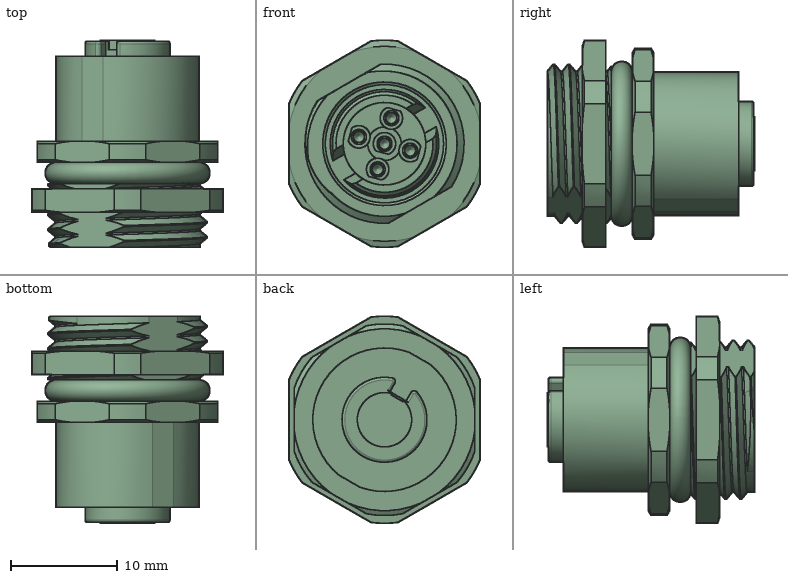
import cadquery as cq
import math


length = 19.5
nut_front, nut_back = 3.3, 5.5
ring_front = 6.0
flange_front, flange_back = 8.0, 10.0
body_end = 18.0
nose_end = 19.4

body_radius = 6.75
flat_distance = 6.65
flat_angle = 120.0
thread_radius = 7.49
thread_root_radius = 6.82
thread_pitch = 1.4
flank_angle = 40.0
crest_width = 0.12
thread_overlap = 0.04
thread_start = 0.35
thread_start_angle = 158.0
thread_trim = 2 * thread_pitch
thread_turns = math.ceil(ring_front / thread_pitch) + 1
lead_in_turns = 0.25
lead_in_offset = 0.98

nut_flats, nut_diameter = 18.0, 19.5
nut_chamfer_radial, nut_chamfer_axial = 0.58, 0.2
flange_flats, flange_diameter = 17.0, 18.0
flange_chamfer_radial, flange_chamfer_axial = 0.45, 0.25
seal_diameter = 15.5

bore_radius, bore_depth, bore_rim_round = 5.55, 5.5, 0.25
cup_front = 3.51
cup_floor = flange_front
cup_inner_radius = 3.88
cup_rim_radius, cup_shoulder_radius, cup_foot_radius = 4.56, 4.9, 5.1
cup_chamfer_length = 0.33
notch_angle = flat_angle - 90
notch_half_width_front, notch_half_width_back = 1.85, 1.03

contact_circle_radius = 2.5
contact_tilt = 15.0
contact_radius, contact_hole_radius = 0.7, 0.53
contact_front = 2.38
contact_hole_depth, contact_cone_depth = 2.73, 0.58
scoop_length = 1.95
collar_radius, collar_flat_distance, collar_height = 1.05, 0.85, 0.2
center_disc_radius, center_disc_height = 1.58, 0.08

nose_radius, nose_edge_round = 4.0, 0.23
face_disc_radius = 2.55
key_half_width, key_floor, key_lip_round = 0.88, 2.54, 0.33
key_slot_half_width, key_slot_floor, key_slot_front = 0.65, 2.34, 18.56
selection_margin = 0.2


def revolved(points):
    """Solid of revolution about the Y axis from (radius, y) points."""
    return cq.Workplane("XY").polyline(points).close().revolve(360, (0, 0), (0, 1))


def disc(radius, y_front, y_back):
    return cq.Workplane("XZ", origin=(0, y_front, 0)).circle(radius).extrude(y_front - y_back)


def turned(shape, angle):
    """Turn a shape about Y so that its +X side points at the angle, from +X towards +Z."""
    return shape.rotate((0, 0, 0), (0, 1, 0), -angle)


def block(x_start, x_end, y_start, y_end, half_width):
    return (
        cq.Workplane("XY")
        .box(x_end - x_start, y_end - y_start, 2 * half_width, centered=(False, False, True))
        .translate((x_start, y_start, 0))
    )


def hexagon(flats, y_front, y_back, envelope):
    """Hexagon with flats facing +X and -X, its corners turned down to the envelope."""
    prism = (
        cq.Workplane("XZ", origin=(0, y_front, 0))
        .polygon(6, flats / math.cos(math.pi / 6))
        .extrude(y_front - y_back)
    )
    return turned(prism, 30).intersect(envelope)


def make_nut():
    radius = nut_diameter / 2
    envelope = revolved([
        (0, nut_front),
        (radius - nut_chamfer_radial, nut_front),
        (radius, nut_front + nut_chamfer_axial),
        (radius, nut_back),
        (0, nut_back),
    ])
    return hexagon(nut_flats, nut_front, nut_back, envelope)


def make_flange():
    radius = flange_diameter / 2
    envelope = revolved([
        (0, flange_front),
        (radius - flange_chamfer_radial, flange_front),
        (radius, flange_front + flange_chamfer_axial),
        (radius, flange_back - flange_chamfer_axial),
        (radius - flange_chamfer_radial, flange_back),
        (0, flange_back),
    ])
    return hexagon(flange_flats, flange_front, flange_back, envelope)


def make_seal():
    """Disc with a fully rounded rim; the inner half of the seal merges into the body."""
    tube_radius = (flange_front - ring_front) / 2
    tube_center_radius = seal_diameter / 2 - tube_radius
    return (
        cq.Workplane("XY")
        .moveTo(0, ring_front)
        .lineTo(tube_center_radius, ring_front)
        .threePointArc(
            (seal_diameter / 2, ring_front + tube_radius),
            (tube_center_radius, flange_front),
        )
        .lineTo(0, flange_front)
        .close()
        .revolve(360, (0, 0), (0, 1))
    )


def make_ridge(start_angle, start_y, turns):
    """Right-handed thread ridge, swept along Z, laid along +Y and turned to its start."""
    foot = thread_root_radius - thread_overlap
    foot_half_width = crest_width / 2 + (thread_radius - foot) * math.tan(math.radians(flank_angle))
    path = cq.Wire.makeHelix(thread_pitch, turns * thread_pitch, foot)
    ridge = (
        cq.Workplane("XZ")
        .polyline([
            (foot, -foot_half_width),
            (thread_radius, -crest_width / 2),
            (thread_radius, crest_width / 2),
            (foot, foot_half_width),
        ])
        .close()
        .sweep(cq.Workplane(obj=path), isFrenet=True)
        .rotate((0, 0, 0), (1, 0, 0), -90)
    )
    return turned(ridge, start_angle).translate((0, start_y, 0))


def make_thread():
    """Ridge of full height with a lead-in that an off-centre cylinder fades to the root."""
    ridge = make_ridge(thread_start_angle, thread_start, thread_turns)
    lead_in = make_ridge(
        thread_start_angle + 360 * lead_in_turns,
        thread_start - thread_pitch * lead_in_turns,
        lead_in_turns,
    )
    fade = disc(thread_radius - lead_in_offset, 0, ring_front).translate((lead_in_offset, 0, 0))
    lead_in = lead_in.intersect(turned(fade, thread_start_angle))
    core = disc(thread_root_radius, -thread_trim, ring_front + 2 * thread_trim)
    thread = core.union(ridge).intersect(disc(thread_radius + 0.2, 0, ring_front))
    return thread.union(lead_in)


def cut_flats(shape):
    keep = block(-flat_distance, flat_distance, 0, length, thread_radius + 0.2)
    return shape.intersect(turned(keep, flat_angle))


def cut_bore(shape):
    """Wiring bore with a rounded rim, leaving the insert cup standing on its floor."""
    bore = (
        cq.Workplane("XY")
        .moveTo(0, 0)
        .lineTo(bore_radius + bore_rim_round, 0)
        .radiusArc((bore_radius, bore_rim_round), -bore_rim_round)
        .lineTo(bore_radius, bore_depth)
        .lineTo(0, bore_depth)
        .close()
        .revolve(360, (0, 0), (0, 1))
    )
    cup = revolved([
        (0, cup_front),
        (cup_rim_radius, cup_front),
        (cup_shoulder_radius, cup_front + cup_chamfer_length),
        (cup_foot_radius, bore_depth),
        (0, bore_depth),
    ])
    notch = (
        cq.Workplane("YZ")
        .polyline([
            (cup_front, -notch_half_width_front),
            (cup_front, notch_half_width_front),
            (bore_depth, notch_half_width_back),
            (bore_depth, -notch_half_width_back),
        ])
        .close()
        .extrude(bore_radius, both=True)
    )
    cup = cup.cut(turned(notch, notch_angle))
    return shape.cut(bore.cut(cup)).cut(disc(cup_inner_radius, cup_front, cup_floor))


def make_contact():
    """Solder contact on the axis; its cup is scooped open on the +X side."""
    hole_end = contact_front + contact_hole_depth
    contact = disc(contact_radius, contact_front, cup_floor)
    contact = contact.cut(revolved([
        (0, contact_front),
        (contact_hole_radius, contact_front),
        (contact_hole_radius, hole_end),
        (0, hole_end + contact_cone_depth),
    ]))
    scoop = (
        cq.Workplane("XY")
        .polyline([
            (0, contact_front),
            (contact_radius, contact_front),
            (contact_radius, contact_front + scoop_length),
        ])
        .close()
        .extrude(contact_radius, both=True)
    )
    collar_front = cup_floor - collar_height
    collar = disc(collar_radius, collar_front, cup_floor).intersect(
        block(-collar_radius, collar_flat_distance, collar_front, cup_floor, collar_radius)
    )
    return contact.cut(scoop).union(collar)


def add_contacts(shape):
    """One contact in the middle and four around it, each opened outwards."""
    contact = make_contact()
    shape = shape.union(disc(center_disc_radius, cup_floor - center_disc_height, cup_floor))
    shape = shape.union(turned(contact, -90 - contact_tilt))
    for quarter in range(4):
        angle = 90 * quarter - contact_tilt
        shape = shape.union(turned(contact.translate((contact_circle_radius, 0, 0)), angle))
    return shape


def make_nose():
    """Mating nose with a keyway in line with the first flat."""
    nose = disc(nose_radius, body_end, nose_end)
    keyway = block(key_floor, nose_radius + 0.2, body_end, length, key_half_width)
    nose = nose.cut(keyway)
    lips = cq.selectors.BoxSelector(
        (key_floor + selection_margin, body_end, -key_half_width - selection_margin),
        (nose_radius, nose_end, key_half_width + selection_margin),
    )
    nose = nose.edges("|Y").edges(lips).fillet(key_lip_round)
    nose = nose.faces(">Y").edges("%CIRCLE").fillet(nose_edge_round)
    nose = nose.union(disc(face_disc_radius, body_end, length).cut(keyway))
    slot = block(key_slot_floor, key_floor + selection_margin, key_slot_front, length, key_slot_half_width)
    return turned(nose.cut(slot), flat_angle)


body = disc(body_radius, ring_front, body_end).union(make_thread())
body = cut_flats(body)
body = body.union(make_flange()).union(make_seal()).union(make_nut())
body = cut_bore(body)
body = add_contacts(body)
result = body.union(make_nose())